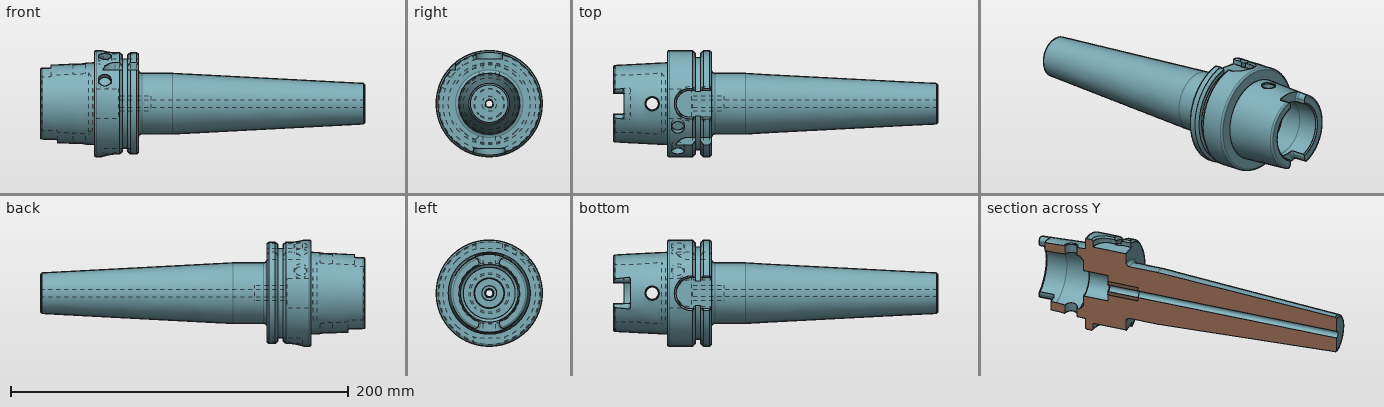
import cadquery as cq
import math


FLANGE_START = 31.9
FLANGE_END = 58.0
TAPER_START = 78.0
TOTAL_LENGTH = 192.0

GAUGE_RADIUS = 24.0
GAUGE_DISTANCE = 6.3
MOUNT_SLOPE = 1 / 20
MOUNT_BASE_RADIUS = GAUGE_RADIUS + MOUNT_SLOPE * GAUGE_DISTANCE
MOUNT_TIP_RADIUS = MOUNT_BASE_RADIUS - MOUNT_SLOPE * FLANGE_START
MOUNT_TIP_ROUND = 1.2
MOUTH_RADIUS = 17.0
MOUTH_CHAMFER = 0.8
UNDERCUT_RADIUS = 18.2
BORE_FLOOR_RADIUS = 15.4
BORE_FLOOR_CHAMFER = 2.5
MOUTH_DEPTH = 13.5
BORE_DEPTH = 30.7

DRIVE_HALF_WIDTH = 6.1
DRIVE_LIP_RADIUS = 3.0
DRIVE_LIP_HEIGHT = 21.1
DRIVE_CORNER_RADIUS = 1.0
TOP_DRIVE_DEPTH = 6.1
BOTTOM_DRIVE_DEPTH = 10.0

CROSS_HOLE_X = 22.8
CROSS_HOLE_RADIUS = 3.6
CROSS_HOLE_CHAMFER = 0.5

FLANGE_RADIUS = 31.5
FLANGE_BACK_ROUND = 1.2
FLANGE_FRONT_CHAMFER = 1.2
GROOVE_ROOT_RADIUS = 27.5
GROOVE_START = 48.4
GROOVE_END = 51.5
GROOVE_CHAMFER = 1.7

KEYWAY_TIP_X = 37.0
KEYWAY_FLOOR = 26.5
TOP_KEYWAY_HALF_WIDTH = 7.9
BOTTOM_KEYWAY_HALF_WIDTH = 9.2
KEYWAY_CHAMFER = 1.2
KEYWAY_EDGE_LEVEL = 29.2

NOTCH_CORNER = 20.0
NOTCH_END_X = 44.0
NOTCH_END_RADIUS = 8.0

RADIAL_HOLE_X = 38.0
RADIAL_HOLE_RADIUS = 3.8
RADIAL_HOLE_DEPTH = 4.2
RADIAL_HOLE_ANGLES = (26.5, 63.5)

SHAFT_RADIUS = 18.0
SHAFT_FILLET = 2.0
SHAFT_TIP_RADIUS = 12.0
SHAFT_TIP_CHAMFER = 1.0

TUBE_BORE_RADIUS = 9.0
TUBE_BORE_CHAMFER = 0.4
TUBE_BORE_DEPTH = 15.4
SCREW_RADIUS = 4.5
SCREW_LENGTH = 19.2
COOLANT_RADIUS = 2.1
COOLANT_CHAMFER = 0.5

SCREW_START = BORE_DEPTH + TUBE_BORE_DEPTH

CLEARANCE = 2.0
EDGE_MARGIN = 0.2


def revolved(profile):
    """Close the half profile and turn it about the X axis."""
    return profile.close().revolve(360, (0, 0, 0), (1, 0, 0))


def cylinder_along_x(start, length, radius):
    return cq.Workplane("YZ", origin=(start, 0, 0)).circle(radius).extrude(length)


def flange_blank():
    """Rim outline with a rounded back edge, chamfered front edge and gripper groove."""
    groove_shoulder = FLANGE_RADIUS - GROOVE_CHAMFER
    return revolved(
        cq.Workplane("XY")
        .moveTo(FLANGE_START, 0)
        .lineTo(FLANGE_START, FLANGE_RADIUS - FLANGE_BACK_ROUND)
        .radiusArc((FLANGE_START + FLANGE_BACK_ROUND, FLANGE_RADIUS), FLANGE_BACK_ROUND)
        .lineTo(GROOVE_START - GROOVE_CHAMFER, FLANGE_RADIUS)
        .lineTo(GROOVE_START, groove_shoulder)
        .lineTo(GROOVE_START, GROOVE_ROOT_RADIUS)
        .lineTo(GROOVE_END, GROOVE_ROOT_RADIUS)
        .lineTo(GROOVE_END, groove_shoulder)
        .lineTo(GROOVE_END + GROOVE_CHAMFER, FLANGE_RADIUS)
        .lineTo(FLANGE_END - FLANGE_FRONT_CHAMFER, FLANGE_RADIUS)
        .lineTo(FLANGE_END, FLANGE_RADIUS - FLANGE_FRONT_CHAMFER)
        .lineTo(FLANGE_END, 0)
    )


def keyway_cutter(half_width, side):
    """Slot with a round end, above (side=1) or below (side=-1) the axis."""
    centre_x = KEYWAY_TIP_X + half_width
    end_x = FLANGE_END + CLEARANCE
    return (
        cq.Workplane("XY", origin=(0, 0, side * KEYWAY_FLOOR))
        .moveTo(end_x, half_width)
        .lineTo(centre_x, half_width)
        .threePointArc((KEYWAY_TIP_X, 0), (centre_x, -half_width))
        .lineTo(end_x, -half_width)
        .close()
        .extrude(side * FLANGE_RADIUS)
    )


def keyed_disc():
    """Plain disc with both keyways cut and their rim edges chamfered."""
    disc = cylinder_along_x(FLANGE_START, FLANGE_END - FLANGE_START, FLANGE_RADIUS)
    disc = disc.cut(keyway_cutter(TOP_KEYWAY_HALF_WIDTH, 1))
    disc = disc.cut(keyway_cutter(BOTTOM_KEYWAY_HALF_WIDTH, -1))
    half_span = FLANGE_RADIUS / 2
    for side in (1, -1):
        rim_edges = cq.selectors.BoxSelector(
            (FLANGE_START, -half_span, side * KEYWAY_EDGE_LEVEL),
            (FLANGE_END - EDGE_MARGIN, half_span, side * (FLANGE_RADIUS + CLEARANCE)),
        )
        disc = disc.edges(rim_edges).chamfer(KEYWAY_CHAMFER)
    return disc


def notch_cutter():
    """Square corner notch with a milled round runout, between -Y and +Z."""
    end_x = FLANGE_END + CLEARANCE
    return (
        cq.Workplane("XY", origin=(0, 0, NOTCH_CORNER))
        .moveTo(end_x, -NOTCH_CORNER)
        .lineTo(NOTCH_END_X, -NOTCH_CORNER)
        .radiusArc((NOTCH_END_X - NOTCH_END_RADIUS, -NOTCH_CORNER - NOTCH_END_RADIUS), -NOTCH_END_RADIUS)
        .lineTo(end_x, -NOTCH_CORNER - NOTCH_END_RADIUS)
        .close()
        .extrude(NOTCH_END_RADIUS)
    )


def radial_hole_cutter(angle):
    """Blind hole towards the axis, at the given angle from -Y up to +Z."""
    direction = cq.Vector(0, -math.cos(math.radians(angle)), math.sin(math.radians(angle)))
    floor = direction * (FLANGE_RADIUS - RADIAL_HOLE_DEPTH) + cq.Vector(RADIAL_HOLE_X, 0, 0)
    return cq.Workplane(
        cq.Solid.makeCylinder(RADIAL_HOLE_RADIUS, RADIAL_HOLE_DEPTH + CLEARANCE, floor, direction)
    )


def flange():
    body = flange_blank().intersect(keyed_disc()).cut(notch_cutter())
    for angle in RADIAL_HOLE_ANGLES:
        body = body.cut(radial_hole_cutter(angle))
    return body


def hollow_taper():
    return revolved(
        cq.Workplane("XY")
        .moveTo(0, 0)
        .lineTo(0, MOUNT_TIP_RADIUS - MOUNT_TIP_ROUND)
        .radiusArc((MOUNT_TIP_ROUND, MOUNT_TIP_RADIUS), MOUNT_TIP_ROUND)
        .lineTo(FLANGE_START, MOUNT_BASE_RADIUS)
        .lineTo(FLANGE_START, 0)
    )


def tool_shaft():
    return revolved(
        cq.Workplane("XZ")
        .moveTo(FLANGE_END, 0)
        .lineTo(FLANGE_END, SHAFT_RADIUS + SHAFT_FILLET)
        .radiusArc((FLANGE_END + SHAFT_FILLET, SHAFT_RADIUS), -SHAFT_FILLET)
        .lineTo(TAPER_START, SHAFT_RADIUS)
        .lineTo(TOTAL_LENGTH - SHAFT_TIP_CHAMFER, SHAFT_TIP_RADIUS)
        .lineTo(TOTAL_LENGTH, SHAFT_TIP_RADIUS - SHAFT_TIP_CHAMFER)
        .lineTo(TOTAL_LENGTH, 0)
    )


def centre_bore():
    """Stepped bore: undercut hollow mouth, coolant tube bore, screw seat and coolant hole."""
    screw_end = SCREW_START + SCREW_LENGTH
    return revolved(
        cq.Workplane("XY")
        .moveTo(0, 0)
        .lineTo(0, MOUTH_RADIUS + MOUTH_CHAMFER)
        .lineTo(MOUTH_CHAMFER, MOUTH_RADIUS)
        .lineTo(MOUTH_DEPTH, MOUTH_RADIUS)
        .lineTo(BORE_DEPTH - BORE_FLOOR_CHAMFER, UNDERCUT_RADIUS)
        .lineTo(BORE_DEPTH, BORE_FLOOR_RADIUS)
        .lineTo(BORE_DEPTH, TUBE_BORE_RADIUS)
        .lineTo(BORE_DEPTH + TUBE_BORE_CHAMFER, TUBE_BORE_RADIUS - TUBE_BORE_CHAMFER)
        .lineTo(SCREW_START, TUBE_BORE_RADIUS - TUBE_BORE_CHAMFER)
        .lineTo(SCREW_START, SCREW_RADIUS)
        .lineTo(screw_end, SCREW_RADIUS)
        .lineTo(screw_end, COOLANT_RADIUS)
        .lineTo(TOTAL_LENGTH, COOLANT_RADIUS)
        .lineTo(TOTAL_LENGTH, 0)
    )


def drive_slot_cutter(depth, side):
    """Slot across the mouth wall whose sides flare outwards through a round lip."""
    lip_start = DRIVE_LIP_HEIGHT - DRIVE_LIP_RADIUS
    lip_half = DRIVE_HALF_WIDTH + DRIVE_LIP_RADIUS
    outside = MOUNT_BASE_RADIUS + CLEARANCE
    slot = (
        cq.Workplane("YZ")
        .moveTo(-DRIVE_HALF_WIDTH, 0)
        .lineTo(-DRIVE_HALF_WIDTH, side * lip_start)
        .radiusArc((-lip_half, side * DRIVE_LIP_HEIGHT), -side * DRIVE_LIP_RADIUS)
        .lineTo(-outside, side * DRIVE_LIP_HEIGHT)
        .lineTo(-outside, side * outside)
        .lineTo(outside, side * outside)
        .lineTo(outside, side * DRIVE_LIP_HEIGHT)
        .lineTo(lip_half, side * DRIVE_LIP_HEIGHT)
        .radiusArc((DRIVE_HALF_WIDTH, side * lip_start), -side * DRIVE_LIP_RADIUS)
        .lineTo(DRIVE_HALF_WIDTH, 0)
        .close()
        .extrude(depth)
    )
    side_walls = cq.selectors.BoxSelector(
        (depth - DRIVE_CORNER_RADIUS, -lip_half, side * CLEARANCE),
        (depth + DRIVE_CORNER_RADIUS, lip_half, side * (DRIVE_LIP_HEIGHT + CLEARANCE)),
    )
    return slot.edges(side_walls).fillet(DRIVE_CORNER_RADIUS)


def cross_hole_cutter():
    return (
        cq.Workplane("XY", origin=(CROSS_HOLE_X, 0, 0))
        .circle(CROSS_HOLE_RADIUS)
        .extrude(MOUNT_BASE_RADIUS + CLEARANCE, both=True)
    )


def chamfer_cross_hole(body):
    """Break the outer rim of the cross hole on the +Z and -Z sides of the taper."""
    for side in (1, -1):
        rim = cq.selectors.BoxSelector(
            (CROSS_HOLE_X - CLEARANCE, -CLEARANCE, side * (MOUNT_BASE_RADIUS - CLEARANCE)),
            (CROSS_HOLE_X + CLEARANCE, CLEARANCE, side * MOUNT_BASE_RADIUS),
        )
        body = body.edges(rim).chamfer(CROSS_HOLE_CHAMFER)
    return body


def make_holder():
    body = hollow_taper().union(flange()).union(tool_shaft())
    body = body.cut(centre_bore())
    body = body.cut(drive_slot_cutter(TOP_DRIVE_DEPTH, 1))
    body = body.cut(drive_slot_cutter(BOTTOM_DRIVE_DEPTH, -1))
    body = body.cut(cross_hole_cutter())
    return chamfer_cross_hole(body)


def make_stop_screw():
    screw = cylinder_along_x(SCREW_START, SCREW_LENGTH, SCREW_RADIUS)
    screw = screw.cut(cylinder_along_x(SCREW_START, SCREW_LENGTH, COOLANT_RADIUS))
    hole_mouth = screw.faces("<X").edges(cq.selectors.RadiusNthSelector(0))
    return hole_mouth.chamfer(COOLANT_CHAMFER)


holder = make_holder()
stop_screw = make_stop_screw()

result = cq.Compound.makeCompound([holder.val(), stop_screw.val()])